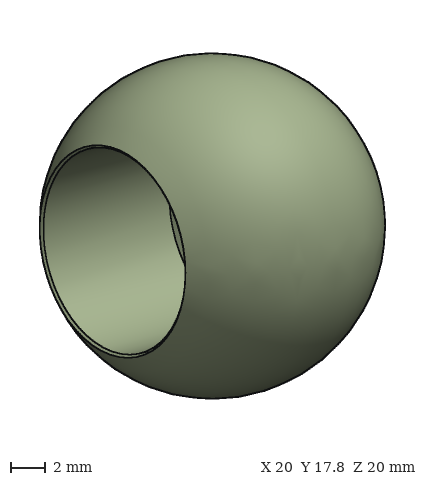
import cadquery as cq
import math

ball_diameter = 20.0
mouth_distance = 7.8

hole_diameter = 12.2
hole_depth = 10.0
drill_point_angle = 118.0

ball_radius = ball_diameter / 2
hole_radius = hole_diameter / 2

mouth_radius = math.sqrt(ball_radius**2 - mouth_distance**2)
mouth_chamfer = mouth_radius - hole_radius

mouth_y = -mouth_distance
chamfer_end_y = mouth_y + mouth_chamfer
shoulder_y = mouth_y + hole_depth
cone_tip_y = shoulder_y + hole_radius / math.tan(math.radians(drill_point_angle / 2))


def drilled_ball():
    """Half section of the ball and its hole, turned about the Y axis."""
    half_section = (
        cq.Workplane("XY")
        .moveTo(0, ball_radius)
        .threePointArc((ball_radius, 0), (mouth_radius, mouth_y))
        .lineTo(hole_radius, chamfer_end_y)
        .lineTo(hole_radius, shoulder_y)
        .lineTo(0, cone_tip_y)
        .close()
    )
    return half_section.revolve(360, (0, 0, 0), (0, 1, 0))


result = drilled_ball()